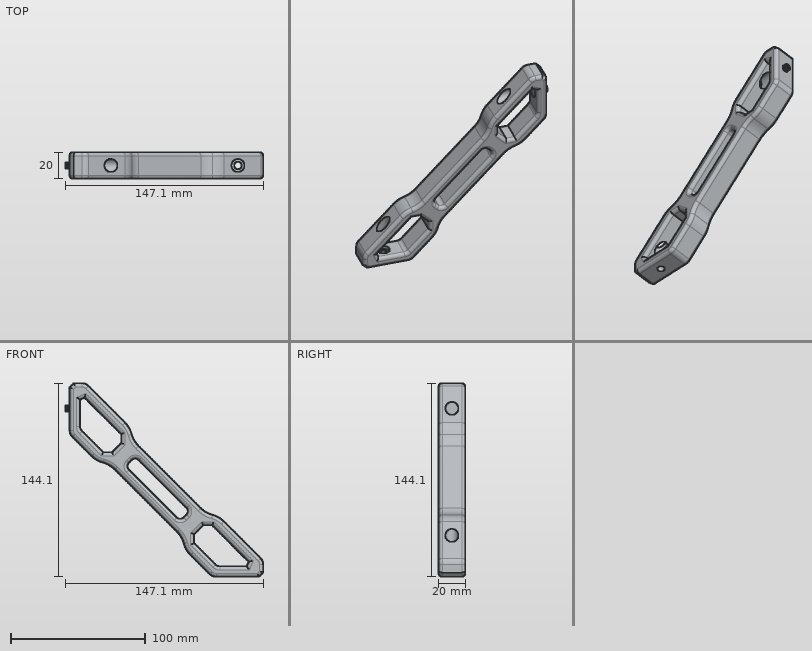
import cadquery as cq
import math


SPAN = 144.1
DEPTH = 20.0
CENTER = 65.6
END_HALF_WIDTH = 17.6
TIP_CHAMFER = 3.2
CORNER_RADIUS = 6.8
SHOULDER_ANGLE = math.radians(30)
SHOULDER_RADIUS = 19.3
SHOULDER_MIDDLE = 42.4
EDGE_RADIUS = 2.8

WALL = 8.0
WINDOW_HALF_WIDTH = 9.4
WINDOW_NOSE = 131.8
WINDOW_INNER_SIDE = 92.8
WINDOW_TOP_SIDE = 38.4
WINDOW_INNER_END = 43.2
WINDOW_CORNER_RADIUS = 4.7
NOSE_ANGLE = math.radians(22.5)

SLOT_HALF_LENGTH = 28.7
SLOT_HALF_WIDTH = 5.0
SLOT_CORNER_RADIUS = 3.5

HOLE_OFFSET = 125.3
CLEARANCE_DIAMETER = 5.5
BORE_DIAMETER = 9.7
COUNTERBORE_DEPTH = 2.6
THREAD_DIAMETER = 5.0
ROOT_DIAMETER = 4.0
THREAD_TURNS = 11
SCREW_PROTRUSION = 3.0
HEAD_DIAMETER = 9.5

ROOT2 = math.sqrt(2)
SAME_POINT = 1.47e-06


def diagonal(along, across):
    """Point in XZ from distances along the arm (to +X, -Z) and across it (to +X, +Z)."""
    return (CENTER + (across + along) / ROOT2, CENTER + (across - along) / ROOT2)


def swap(corners):
    """Mirror a corner list about X = Z, keeping the order of travel."""
    return [(z, x, radius) for x, z, radius in reversed(corners)]


def rounded_prism(corners):
    """Prism through DEPTH, centered on Y = 0, over corners given as (x, z, radius)."""
    stretches = []
    count = len(corners)
    for i, (x, z, radius) in enumerate(corners):
        corner = cq.Vector(x, z)
        back = (cq.Vector(*corners[i - 1][:2]) - corner).normalized()
        ahead = (cq.Vector(*corners[(i + 1) % count][:2]) - corner).normalized()
        half_angle = back.getAngle(ahead) / 2
        setback = radius / math.tan(half_angle)
        bulge = radius / math.sin(half_angle) - radius
        middle = corner + (back + ahead).normalized() * bulge
        stretches.append((corner + back * setback, middle, corner + ahead * setback))

    def flat(point):
        return (point.x, point.y)

    first = stretches[0][0]
    here = first
    outline = cq.Workplane("XZ").moveTo(*flat(first))
    for start, middle, end in stretches:
        if (start - here).Length > SAME_POINT:
            outline = outline.lineTo(*flat(start))
        if (end - start).Length > SAME_POINT:
            outline = outline.threePointArc(flat(middle), flat(end))
        here = end
    return outline.close().extrude(DEPTH / 2, both=True)


def blank():
    tangent = SHOULDER_RADIUS * math.tan(SHOULDER_ANGLE / 2)
    half_run = tangent * math.cos(SHOULDER_ANGLE)
    neck_half_width = END_HALF_WIDTH - 2 * tangent * math.sin(SHOULDER_ANGLE)
    neck_end = SHOULDER_MIDDLE - half_run
    end_start = SHOULDER_MIDDLE + half_run
    upper_line = 2 * CENTER + ROOT2 * END_HALF_WIDTH
    lower_line = 2 * CENTER - ROOT2 * END_HALF_WIDTH
    lower_right_half = [
        (*diagonal(neck_end, neck_half_width), SHOULDER_RADIUS),
        (*diagonal(end_start, END_HALF_WIDTH), SHOULDER_RADIUS),
        (SPAN, upper_line - SPAN, CORNER_RADIUS),
        (SPAN, TIP_CHAMFER, 0),
        (SPAN - TIP_CHAMFER, 0, 0),
        (lower_line, 0, CORNER_RADIUS),
        (*diagonal(end_start, -END_HALF_WIDTH), SHOULDER_RADIUS),
        (*diagonal(neck_end, -neck_half_width), SHOULDER_RADIUS),
    ]
    return rounded_prism(lower_right_half + swap(lower_right_half))


def window_corners():
    """Corners of the lower right window."""
    upper_line = 2 * CENTER + ROOT2 * WINDOW_HALF_WIDTH
    lower_line = 2 * CENTER - ROOT2 * WINDOW_HALF_WIDTH
    end_line = ROOT2 * WINDOW_INNER_END
    lean = math.tan(NOSE_ANGLE)
    nose_height = (upper_line - WINDOW_NOSE - WALL) / (1 + lean)
    return [
        (WINDOW_NOSE, WALL, 0),
        (lower_line - WALL, WALL, WINDOW_CORNER_RADIUS),
        (WINDOW_INNER_SIDE, lower_line - WINDOW_INNER_SIDE, 0),
        (WINDOW_INNER_SIDE, WINDOW_INNER_SIDE - end_line, 0),
        (WINDOW_TOP_SIDE + end_line, WINDOW_TOP_SIDE, 0),
        (upper_line - WINDOW_TOP_SIDE, WINDOW_TOP_SIDE, 0),
        (WINDOW_NOSE + nose_height * lean, WALL + nose_height, 0),
    ]


def slot_corners():
    signs = [(1, 1), (1, -1), (-1, -1), (-1, 1)]
    return [
        (*diagonal(a * SLOT_HALF_LENGTH, b * SLOT_HALF_WIDTH), SLOT_CORNER_RADIUS)
        for a, b in signs
    ]


def cylinder(diameter, length, start, direction):
    return cq.Workplane(cq.Solid.makeCylinder(diameter / 2, length, start, direction))


def screw_holes(start, direction):
    """Clearance hole, counterbore and tool access hole on one axis from a flat end wall."""
    counterbore_floor = start + direction * (WALL - COUNTERBORE_DEPTH)
    access_length = SPAN / 2
    clearance = cylinder(CLEARANCE_DIAMETER, WALL, start, direction)
    bore = cylinder(BORE_DIAMETER, access_length, counterbore_floor, direction)
    return clearance.union(bore)


def make_arm():
    arm = blank()
    for corners in (window_corners(), swap(window_corners()), slot_corners()):
        arm = arm.cut(rounded_prism(corners))
    arm = arm.faces("<Y or >Y").edges().fillet(EDGE_RADIUS)
    arm = arm.cut(screw_holes(cq.Vector(0, 0, HOLE_OFFSET), cq.Vector(1, 0, 0)))
    return arm.cut(screw_holes(cq.Vector(HOLE_OFFSET, 0, 0), cq.Vector(0, 0, 1)))


def make_screw():
    """Screw along X; its head rests on the counterbore floor and its tip stands out at -X."""
    head_seat = WALL - COUNTERBORE_DEPTH
    tip = -SCREW_PROTRUSION
    pitch = (head_seat - tip) / THREAD_TURNS
    profile = cq.Workplane("XZ").moveTo(tip, 0).lineTo(tip, ROOT_DIAMETER / 2)
    for turn in range(THREAD_TURNS):
        profile = profile.lineTo(tip + (turn + 0.5) * pitch, THREAD_DIAMETER / 2)
        profile = profile.lineTo(tip + (turn + 1) * pitch, ROOT_DIAMETER / 2)
    profile = profile.lineTo(head_seat, HEAD_DIAMETER / 2)
    profile = profile.lineTo(WALL, HEAD_DIAMETER / 2).lineTo(WALL, 0).close()
    screw = profile.revolve(360, (0, 0, 0), (1, 0, 0))
    return screw.translate((0, 0, HOLE_OFFSET))


arm = make_arm()
screw = make_screw()

result = cq.Compound.makeCompound([arm.val(), screw.val()])